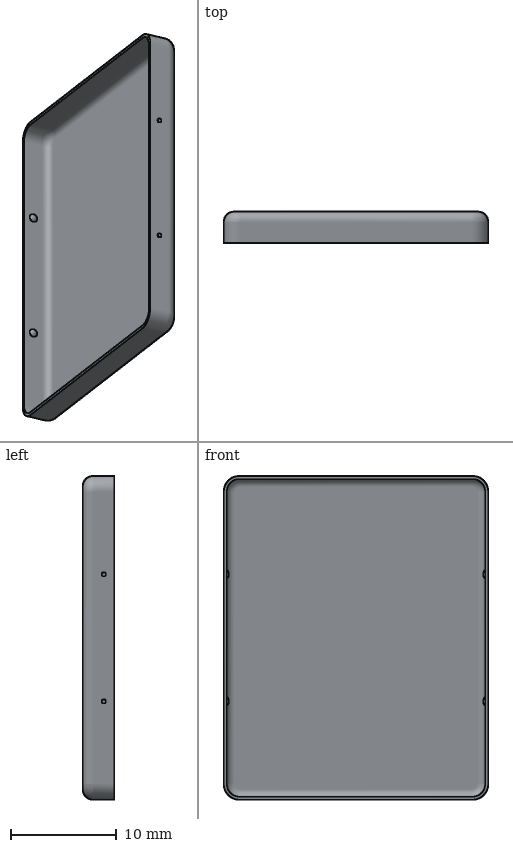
import cadquery as cq
import math

width = 25.0
depth = 3.0
height = 30.6
wall = 0.3
corner_radius = 1.5
back_radius = 1.0

dimple_spacing = 12.0
dimple_setback = 1.0
recess_radius = 0.2
bump_radius = recess_radius + wall


def rounded_pan(inset):
    """Solid block set in from the outer skin, with rounded corners and back edge."""
    pan_width = width - 2 * inset
    pan_height = height - 2 * inset
    block = cq.Workplane("XY").box(pan_width, depth - inset, pan_height, centered=(True, False, True))
    block = block.edges("|Y").fillet(corner_radius - inset)
    return block.faces(">Y").edges().fillet(back_radius - inset)


def dome(radius, side, z):
    """Half ball on one outer side wall, bulging towards the middle of the part."""
    skin_x = side * width / 2
    diagonal = radius * math.cos(math.radians(45))
    return (
        cq.Workplane("XZ", origin=(skin_x, dimple_setback, z))
        .lineTo(0, radius)
        .threePointArc((-side * diagonal, diagonal), (-side * radius, 0))
        .close()
        .revolve(360, (0, 0), (1, 0))
    )


def bump(side, z):
    """Part of the larger dome that stands on the inside of the wall."""
    root_x = side * (width - wall) / 2
    bump_diameter = 2 * bump_radius
    inner_side = cq.Workplane("XY", origin=(root_x - side * bump_radius, dimple_setback, z))
    inner_side = inner_side.box(bump_diameter, bump_diameter, bump_diameter)
    return dome(bump_radius, side, z).intersect(inner_side)


result = rounded_pan(0).cut(rounded_pan(wall))

for side in (-1, 1):
    for z in (-dimple_spacing / 2, dimple_spacing / 2):
        result = result.union(bump(side, z))
        result = result.cut(dome(recess_radius, side, z))